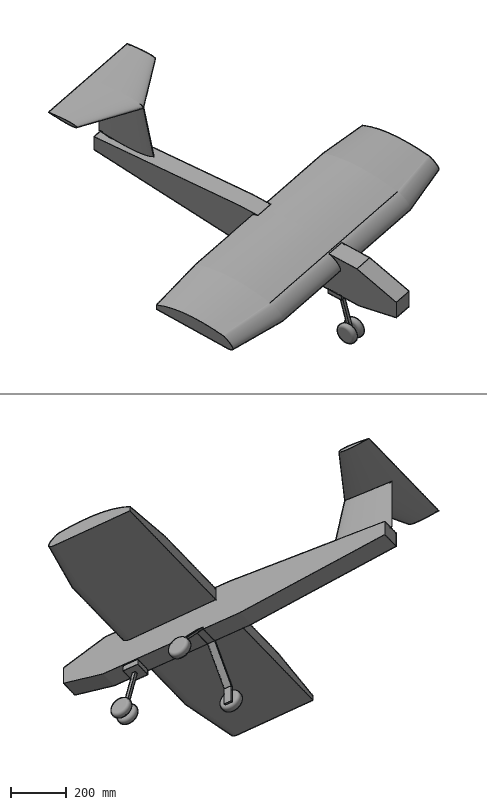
import cadquery as cq
import math


fuselage_length = 1378.0
fuselage_width = 75.0
fuselage_height = 177.0
tail_bottom = 65.0
tail_top = 129.0
nose_bottom = 40.0
nose_top = 116.0
belly_start = 621.0
belly_end = 1208.0
back_start = 665.0
back_end = 1198.0

wing_half_span = 597.0
centre_panel_half_span = 369.0
wing_rear = 725.0
wing_rear_bottom = 116.0
root_points = {
    "rear_top": (wing_rear, 170.0),
    "rear_rise": (804.0, 190.0),
    "crown": (947.0, 195.0),
    "spar": (1063.0, 177.0),
    "shoulder": (1106.0, 156.0),
    "nose": (1124.0, 129.0),
    "belly": (1090.0, 109.0),
}
tip_points = {
    "rear_top": (wing_rear, 138.0),
    "rear_rise": (791.0, 161.0),
    "crown": (918.0, 174.0),
    "spar": (1028.0, 164.0),
    "shoulder": (1058.0, 146.0),
    "nose": (1073.0, 125.0),
    "belly": (1048.0, 112.0),
}

tail_thickness_ratio = 0.12
facets_per_side = 50
fin_rear = -7.0
fin_base_chord = 254.0
fin_top_chord = 204.0
fin_base = tail_top
tailplane_height = 357.0
tailplane_rear = -57.0
tailplane_root_chord = 254.0
tailplane_tip_chord = 129.0
tailplane_half_span = 228.0

strap_thickness = 7.0
strap_width = 30.0
strap_x = 794.0
strap_outer_half_width = 152.0
strap_shoulder_half_width = 40.0
strap_knee_z = -133.0
strap_end_z = -210.0
main_wheel_radius = 43.0
main_wheel_width = 32.0
main_wheel_rounding = 11.0
main_wheel_z = -185.0

block_length = 63.0
block_width = 66.0
block_height = 25.0
block_x = 1094.0
leg_thickness = 13.0
leg_top_x = 1096.0
leg_end_z = -205.0
nose_wheel_radius = 42.0
nose_wheel_width = 27.0
nose_wheel_rounding = 11.0
nose_wheel_x = 1141.0
nose_wheel_z = main_wheel_z - main_wheel_radius + nose_wheel_radius


def make_fuselage_blank():
    outline = [
        (0, tail_bottom),
        (belly_start, 0),
        (belly_end, 0),
        (fuselage_length, nose_bottom),
        (fuselage_length, nose_top),
        (back_end, fuselage_height),
        (back_start, fuselage_height),
        (0, tail_top),
    ]
    return cq.Workplane("XZ").polyline(outline).close().extrude(fuselage_width / 2, both=True)


def wing_section(y, points):
    """Closed wire of one wing rib at the given span position."""
    place = {name: cq.Vector(x, y, z) for name, (x, z) in points.items()}
    rear_bottom = cq.Vector(wing_rear, y, wing_rear_bottom)
    upper = cq.Edge.makeSpline([place[name] for name in ("rear_top", "rear_rise", "crown", "spar")])
    front = cq.Edge.makeSpline([place[name] for name in ("spar", "shoulder", "nose", "belly")])
    underside = cq.Edge.makeLine(place["belly"], rear_bottom)
    rear = cq.Edge.makeLine(rear_bottom, place["rear_top"])
    return cq.Wire.assembleEdges([upper, front, underside, rear])


def make_wing():
    sections = [
        wing_section(-wing_half_span, tip_points),
        wing_section(-centre_panel_half_span, root_points),
        wing_section(0, root_points),
        wing_section(centre_panel_half_span, root_points),
        wing_section(wing_half_span, tip_points),
    ]
    return cq.Workplane(cq.Solid.makeLoft(sections, True))


def aerofoil(chord, rear):
    """Points (x, offset) of a faceted symmetric four-digit NACA aerofoil with a closed rear edge."""
    coefficients = (0.2969, -0.1260, -0.3516, 0.2843, -0.1036)
    powers = (0.5, 1, 2, 3, 4)
    naca_scale = 5
    points = []
    for i in range(2 * facets_per_side):
        angle = math.pi * i / facets_per_side
        station = (1 - math.cos(angle)) / 2
        from_nose = 1 - station
        shape = sum(c * from_nose**p for c, p in zip(coefficients, powers))
        half_thickness = naca_scale * tail_thickness_ratio * chord * shape
        side = 1 if i <= facets_per_side else -1
        points.append((rear + chord * station, side * half_thickness))
    return points


def make_tailplane():
    def section(y, chord):
        outline = aerofoil(chord, tailplane_rear)
        return cq.Wire.makePolygon([cq.Vector(x, y, tailplane_height + h) for x, h in outline], close=True)

    sections = [
        section(-tailplane_half_span, tailplane_tip_chord),
        section(0, tailplane_root_chord),
        section(tailplane_half_span, tailplane_tip_chord),
    ]
    return cq.Workplane(cq.Solid.makeLoft(sections, True))


def make_fin_blank():
    """Fin that reaches the middle plane of the tailplane."""

    def section(z, chord):
        return cq.Wire.makePolygon([cq.Vector(x, y, z) for x, y in aerofoil(chord, fin_rear)], close=True)

    sections = [section(fin_base, fin_base_chord), section(tailplane_height, fin_top_chord)]
    return cq.Workplane(cq.Solid.makeLoft(sections, True))


def make_main_strap():
    drop = strap_thickness - strap_knee_z
    reach = strap_outer_half_width - strap_shoulder_half_width
    slope = math.atan2(drop, reach)
    shoulder_mitre = strap_thickness * math.tan(slope / 2)
    knee_mitre = strap_thickness * math.tan((math.pi / 2 - slope) / 2)
    strap_inner_half_width = strap_outer_half_width - strap_thickness
    right_half = [
        (strap_shoulder_half_width, strap_thickness),
        (strap_outer_half_width, strap_knee_z),
        (strap_outer_half_width, strap_end_z),
        (strap_inner_half_width, strap_end_z),
        (strap_inner_half_width, strap_knee_z - knee_mitre),
        (strap_shoulder_half_width - shoulder_mitre, 0),
    ]
    left_half = [(-y, z) for y, z in reversed(right_half)]
    plane = cq.Workplane("YZ", origin=(strap_x, 0, 0))
    return plane.polyline(right_half + left_half).close().extrude(strap_width / 2, both=True)


def make_wheel(x, y_middle, z, radius, width, rounding):
    plane = cq.Workplane("XZ", origin=(x, y_middle, z))
    return plane.circle(radius).extrude(width / 2, both=True).edges().fillet(rounding)


def make_nose_strut():
    block = cq.Workplane("XY").box(block_length, block_width, block_height, centered=(True, True, False))
    block = block.translate((block_x, 0, -block_height))
    rake = (nose_wheel_x - leg_top_x) / (-block_height - nose_wheel_z)
    leg_end_x = leg_top_x + rake * (-block_height - leg_end_z)
    half_length_x = leg_thickness / 2 * math.hypot(1, rake)
    outline = [
        (leg_top_x - half_length_x, -block_height),
        (leg_top_x + half_length_x, -block_height),
        (leg_end_x + half_length_x, leg_end_z),
        (leg_end_x - half_length_x, leg_end_z),
    ]
    leg = cq.Workplane("XZ").polyline(outline).close().extrude(leg_thickness / 2, both=True)
    return block.union(leg)


wing = make_wing()
tailplane = make_tailplane()
fin_blank = make_fin_blank()
main_strap = make_main_strap()
nose_strut = make_nose_strut()

fuselage = make_fuselage_blank().cut(wing).cut(fin_blank).cut(main_strap)
fin = fin_blank.cut(tailplane)

wheels = []
for side in (-1, 1):
    main_wheel_y = side * (strap_outer_half_width + main_wheel_width / 2)
    nose_wheel_y = side * (leg_thickness / 2 + nose_wheel_width / 2)
    main_wheel = make_wheel(
        strap_x, main_wheel_y, main_wheel_z, main_wheel_radius, main_wheel_width, main_wheel_rounding
    )
    nose_wheel = make_wheel(
        nose_wheel_x, nose_wheel_y, nose_wheel_z, nose_wheel_radius, nose_wheel_width, nose_wheel_rounding
    )
    wheels += [main_wheel.val(), nose_wheel.val()]

result = cq.Compound.makeCompound(
    [
        *fuselage.vals(),
        wing.val(),
        *fin.vals(),
        tailplane.val(),
        main_strap.val(),
        nose_strut.val(),
        *wheels,
    ]
)